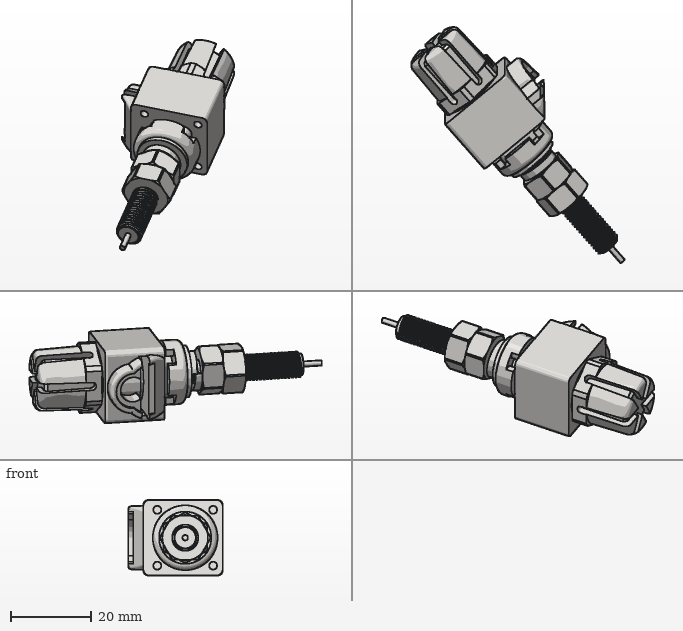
import cadquery as cq
import math


knob_top = 31.0
knob_base_radius = 8.0
knob_top_radius = 7.6
knob_edge_fillet = 1.55
collar_bottom, collar_top = 15.45, 19.5
collar_apothem = 8.1
collar_corner_radius = 9.0
plunger_radius = 7.75
plunger_step_radius = 6.9
plunger_step_y = 5.5
slot_count = 6
slot_end_diameter = 2.0
slot_end_y = 17.9
slot_top_width = 2.4
slot_floor_radius = 6.1
groove_floor = 29.6
groove_chamfer = 0.7

housing_left, housing_right = -10.5, 9.4
housing_height = 18.9
housing_top = 15.1
housing_corner_fillet = 1.4
housing_rim_height = 0.6
housing_rim_taper = 10.0
hole_diameter = 2.0
hole_offset = 6.95
hole_depth = 2.9

guard_left = -14.2
wire_y = 8.6
wire_hole_diameter = 6.4
upper_disc_radius = 6.0
lower_disc_radius = 8.0
lower_disc_y = 3.9
guard_fillet = 0.8
guard_rim = 1.5
guard_recess_depth = 1.25
guard_slot_bottom, guard_slot_top = 4.6, 6.6
bore_floor = guard_slot_bottom

key_width = 10.75
key_corner_fillet = 2.2
key_bottom = -3.1

bush_diameter = 16.2
bush_radius = bush_diameter / 2
bush_top, bush_bottom = -1.75, -6.7
bush_fillet = 1.5
bush_pocket_floor = -3.7
bush_notch_offset = 3.95
seat_radius = 6.5
seat_bottom = -7.8

washer_diameter = 9.95
washer_bore_diameter = 6.7
washer_thickness = 1.9
washer_seating = 0.2
washer_gap_angle = 7.0

nut_flats = 11.05
nut_corner_diameter = 12.5
nut_chamfer = 0.3
lower_nut_turn = 30.0
upper_nut_top, nut_joint, lower_nut_bottom = -10.8, -16.25, -21.8

stud_diameter = 6.5
thread_root_diameter = 5.55
thread_base_width = 0.6
thread_crest_width = 0.15
thread_sink = 0.1
thread_clearance = 0.45
thread_start = -36.75
thread_turns = 16
thread_pitch = (lower_nut_bottom - thread_clearance - thread_start) / thread_turns
tip_chamfer = 0.15
thread_end = -37.2
stud_top = 8.8

pin_diameter = 1.4
total_length = 73.2
pin_end = knob_top - total_length


def across_y(y):
    """Workplane across the Y axis at height y: local x is X, local y is -Z, extrusion is +Y."""
    return cq.Workplane(cq.Plane(origin=(0, y, 0), xDir=(1, 0, 0), normal=(0, 1, 0)))


def across_x(x):
    """Workplane across the X axis at x: local x is Y, local y is Z, extrusion is +X."""
    return cq.Workplane("YZ", origin=(x, 0, 0))


def cylinder(diameter, bottom, top):
    return across_y(bottom).circle(diameter / 2).extrude(top - bottom)


def hexagon(flats):
    """Corners of a hexagon with two corners on the local y axis."""
    corner = flats / math.sqrt(3)
    angles = [math.radians(90 + 60 * i) for i in range(6)]
    return [(corner * math.cos(a), corner * math.sin(a)) for a in angles]


def make_knob():
    barrel = (
        cq.Workplane("XY")
        .moveTo(0, collar_top)
        .lineTo(knob_base_radius, collar_top)
        .lineTo(knob_top_radius, knob_top)
        .lineTo(0, knob_top)
        .close()
        .revolve(360, (0, 0), (0, 1))
        .faces(">Y")
        .edges()
        .fillet(knob_edge_fillet)
    )
    collar = (
        across_y(collar_bottom)
        .polyline(hexagon(2 * collar_apothem))
        .close()
        .extrude(collar_top - collar_bottom)
        .intersect(cylinder(2 * collar_corner_radius, collar_bottom, collar_top))
    )
    plunger = cylinder(2 * plunger_radius, plunger_step_y, collar_bottom)
    plunger_tip = cylinder(2 * plunger_step_radius, bore_floor, plunger_step_y)
    knob = barrel.union(collar).union(plunger).union(plunger_tip)

    for i in range(slot_count):
        knob = knob.cut(knob_slot().rotate((0, 0, 0), (0, 1, 0), i * 360 / slot_count))
    return knob.cut(cylinder(stud_diameter, bore_floor, stud_top))


def knob_slot():
    """Round-ended grip slot on the +X side, carried over the knob top as a groove to the centre."""
    end_radius = slot_end_diameter / 2
    half_top = slot_top_width / 2
    outline = (
        across_x(0)
        .moveTo(slot_end_y, end_radius)
        .lineTo(knob_top, half_top)
        .lineTo(knob_top, -half_top)
        .lineTo(slot_end_y, -end_radius)
        .threePointArc((slot_end_y - end_radius, 0), (slot_end_y, end_radius))
        .close()
        .extrude(collar_corner_radius)
    )
    depth_profile = (
        cq.Workplane("XY")
        .moveTo(0, knob_top)
        .lineTo(0, groove_floor)
        .lineTo(slot_floor_radius - groove_chamfer, groove_floor)
        .lineTo(slot_floor_radius, groove_floor - groove_chamfer)
        .lineTo(slot_floor_radius, collar_bottom)
        .lineTo(collar_corner_radius, collar_bottom)
        .lineTo(collar_corner_radius, knob_top)
        .close()
        .extrude(slot_top_width, both=True)
    )
    return outline.intersect(depth_profile)


def square_prism(bottom, top):
    """Square prism that is the blank of the housing key and the shape of the bush pocket."""
    return across_y(bottom).rect(key_width, key_width).extrude(top - bottom)


def housing_outline(y):
    """Rounded rectangle of the housing at height y."""
    width = housing_right - housing_left
    middle = (housing_left + housing_right) / 2
    outline = cq.Sketch().rect(width, housing_height).vertices().fillet(housing_corner_fillet)
    return across_y(y).center(middle, 0).placeSketch(outline)


def make_housing():
    block = housing_outline(0).extrude(housing_top - housing_rim_height)
    rim_base = housing_outline(housing_top - housing_rim_height)
    rim = rim_base.extrude(housing_rim_height, taper=housing_rim_taper)
    key = square_prism(key_bottom, 0).edges("|Y").fillet(key_corner_fillet)
    housing = block.union(rim).union(wire_guard()).union(key)

    housing = housing.cut(cylinder(2 * plunger_radius, bore_floor, housing_top))
    housing = housing.cut(cylinder(stud_diameter, key_bottom, bore_floor))
    wire_hole = across_x(guard_left).center(wire_y, 0).circle(wire_hole_diameter / 2).extrude(-guard_left)
    housing = housing.cut(wire_hole)

    slot_height = guard_slot_top - guard_slot_bottom
    slot = (
        across_x(housing_left)
        .center(guard_slot_bottom + slot_height / 2, 0)
        .rect(slot_height, 2 * plunger_radius)
        .extrude(-housing_left)
    )
    housing = housing.cut(slot)

    holes = (
        across_y(0)
        .rect(2 * hole_offset, 2 * hole_offset, forConstruction=True)
        .vertices()
        .circle(hole_diameter / 2)
        .extrude(hole_depth)
    )
    return housing.cut(holes)


def keyhole(x, depth, inset):
    """Union of the two guard discs, shrunk by inset, as a plate starting at x."""
    upper = across_x(x).center(wire_y, 0).circle(upper_disc_radius - inset).extrude(depth)
    lower = across_x(x).center(lower_disc_y, 0).circle(lower_disc_radius - inset).extrude(depth)
    return upper.union(lower)


def wire_guard():
    """Keyhole guard above the slot and a sloped ramp below it, sharing one recessed face."""
    reach = housing_left - guard_left
    shield = keyhole(guard_left, reach, 0).faces("<X").edges().fillet(guard_fillet)
    above_slot = (
        across_x(guard_left)
        .center((guard_slot_top + housing_top) / 2, 0)
        .rect(housing_top - guard_slot_top, housing_height)
        .extrude(reach)
    )
    shield = shield.intersect(above_slot)

    slope = (
        cq.Workplane("XY")
        .polyline([(guard_left, guard_slot_bottom), (housing_left, 0), (housing_left, guard_slot_bottom)])
        .close()
        .extrude(housing_height / 2, both=True)
    )
    ramp = keyhole(guard_left, reach, 0).intersect(slope).edges("%ELLIPSE").fillet(guard_fillet)
    return shield.union(ramp).cut(keyhole(guard_left, guard_recess_depth, guard_rim))


def make_hardware():
    hardware = bush().union(stud()).union(spring_washer())
    hardware = hardware.union(nut(nut_joint, upper_nut_top))
    lower_nut = nut(lower_nut_bottom, nut_joint).rotate((0, 0, 0), (0, 1, 0), lower_nut_turn)
    return hardware.union(lower_nut)


def bush():
    """Cup that receives the housing key, with its wall notched away at the four key corners."""
    cup = (
        cylinder(2 * bush_radius, bush_bottom, bush_top)
        .faces("<Y")
        .edges()
        .fillet(bush_fillet)
        .union(cylinder(2 * seat_radius, seat_bottom, bush_bottom))
        .cut(square_prism(bush_pocket_floor, bush_top))
    )
    notch_size = bush_radius - bush_notch_offset
    notches = (
        across_y(bush_pocket_floor)
        .rect(bush_radius + bush_notch_offset, bush_radius + bush_notch_offset, forConstruction=True)
        .vertices()
        .rect(notch_size, notch_size)
        .extrude(bush_top - bush_pocket_floor)
    )
    return cup.cut(notches)


def stud():
    """Smooth shank through the housing, threaded lower end and a thin pin."""
    shank = cylinder(stud_diameter, seat_bottom, stud_top)
    core = cylinder(thread_root_diameter, thread_end, seat_bottom).faces("<Y").edges().chamfer(tip_chamfer)
    pin = cylinder(pin_diameter, pin_end, thread_end)
    long_thread = thread(thread_start, lower_nut_bottom - thread_clearance)
    short_thread = thread(upper_nut_top + thread_clearance, seat_bottom - thread_clearance)
    return core.union(long_thread).union(short_thread).union(shank).union(pin)


def upright(shape, bottom):
    """Turn a shape built along Z so that it stands along Y, starting at bottom."""
    return shape.rotate((0, 0, 0), (1, 0, 0), -90).translate((0, bottom, 0))


def thread(bottom, top):
    """Helical ridge that starts on the +X side at the bottom; its root sinks into the stud core."""
    sunk_root = thread_root_diameter / 2 - thread_sink
    crest = stud_diameter / 2
    half_base = thread_base_width / 2
    half_crest = thread_crest_width / 2
    path = cq.Wire.makeHelix(thread_pitch, top - bottom, crest)
    ridge = (
        cq.Workplane("XZ")
        .moveTo(sunk_root, -half_base)
        .lineTo(crest, -half_crest)
        .lineTo(crest, half_crest)
        .lineTo(sunk_root, half_base)
        .close()
        .sweep(cq.Workplane(path), isFrenet=True)
    )
    return upright(ridge, bottom)


def spring_washer():
    """One left-handed turn of rectangular wire, ends on the -X side, bedded into nut and bush."""
    pitch = seat_bottom - upper_nut_top + 2 * washer_seating - washer_thickness
    inner = washer_bore_diameter / 2
    outer = washer_diameter / 2
    path = cq.Wire.makeHelix(pitch, pitch, outer, lefthand=True)
    coil = (
        cq.Workplane("XZ")
        .moveTo(inner, 0)
        .lineTo(outer, 0)
        .lineTo(outer, washer_thickness)
        .lineTo(inner, washer_thickness)
        .close()
        .sweep(cq.Workplane(path), isFrenet=True)
        .rotate((0, 0, 0), (0, 0, 1), 180 + washer_gap_angle)
    )
    return upright(coil, upper_nut_top - washer_seating + pitch)


def nut(bottom, top):
    """Hexagon nut with its corners rounded and chamfered on both faces."""
    prism = across_y(bottom).polyline(hexagon(nut_flats)).close().extrude(top - bottom)
    envelope = cylinder(nut_corner_diameter, bottom, top).edges().chamfer(nut_chamfer, 2 * nut_chamfer)
    return prism.intersect(envelope)


knob = make_knob()
housing = make_housing()
hardware = make_hardware()

result = cq.Compound.makeCompound([body.solids().val() for body in (knob, housing, hardware)])